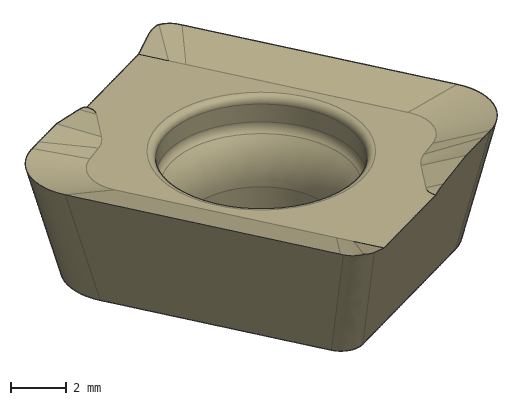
import cadquery as cq
import math

width = 14.88
depth = 12.7
height = 4.76

clearance_angle = 11.0
side_lean = 4.0
large_radius = 2.38
small_radius = 0.9

floor_drop = 0.49
rim_width = 1.77
overrun = 1.49

mouth_radius = 4.15
counterbore_radius = 3.84
bore_radius = 2.9
seat_radius = 3.66
counterbore_depth = 1.07
seat_start = 1.46
seat_end = 3.26

lip_depth = mouth_radius - counterbore_radius
floor_z = height - floor_drop
half_depth = depth / 2
lean = math.tan(math.radians(side_lean))
large_center_y = half_depth - large_radius
side_offset = (
    width / 2
    + large_radius * (1 / math.cos(math.radians(side_lean)) - 1)
    - large_center_y * lean
)


def side_x(y):
    """X of the right-hand cutting edge at a given Y."""
    return side_offset + y * lean


def outline(z, inset):
    """Rounded parallelogram, moved inward by inset, as a wire at height z."""
    y = half_depth - inset
    side_inset = inset / math.cos(math.radians(side_lean))
    wide_x = side_x(y) - side_inset
    narrow_x = side_x(-y) - side_inset
    points = [(wide_x, y), (-narrow_x, y), (-wide_x, -y), (narrow_x, -y)]
    wire = cq.Wire.makePolygon([cq.Vector(px, py, z) for px, py in points], close=True)
    corners = wire.Vertices()
    large = [v for v in corners if v.X * v.Y > 0]
    small = [v for v in corners if v.X * v.Y < 0]
    return wire.fillet2D(large_radius, large).fillet2D(small_radius, small)


def make_body():
    """Solid with flanks that taper inward toward the base."""
    inset = height * math.tan(math.radians(clearance_angle))
    return cq.Workplane(cq.Solid.makeLoft([outline(0, inset), outline(height, 0)], True))


def relief_wire(z, half_path):
    """Closed contour from one half path and its half-turn copy.

    Each step is (end,) for a line or (middle, end) for an arc.
    """
    other_half = [tuple((-x, -y) for x, y in step) for step in half_path]
    start = other_half[-1][-1]
    contour = cq.Workplane("XY", origin=(0, 0, z)).moveTo(*start)
    for step in half_path + other_half:
        if len(step) == 1:
            contour = contour.lineTo(*step[0])
        else:
            contour = contour.threePointArc(*step)
    return contour.close().wire().val()


def make_relief():
    """Material above the sunken face and its sloping rim."""
    outer_x = width / 2 + overrun
    floor_y = half_depth - rim_width

    small_center_x = -side_x(-half_depth) + small_radius
    small_center_y = half_depth - small_radius
    edge_drop = 0.34
    edge_y = half_depth - edge_drop
    edge_x = small_center_x - math.sqrt(small_radius**2 - (edge_y - small_center_y) ** 2)
    facet_x = -5.77
    facet_mid_angle = math.radians(115)
    edge_mid = (
        small_center_x + small_radius * math.cos(facet_mid_angle),
        small_center_y + small_radius * math.sin(facet_mid_angle),
    )
    floor_facet_start = -4.88
    floor_facet_end = -5.57

    large_center_x = width / 2 - large_radius
    diagonal = math.sqrt(0.5)
    large_mid = (
        large_center_x + large_radius * diagonal,
        large_center_y + large_radius * diagonal,
    )
    side_angle = math.radians(-side_lean)
    large_end = (
        large_center_x + large_radius * math.cos(side_angle),
        large_center_y + large_radius * math.sin(side_angle),
    )
    floor_corner_radius = 1.67
    floor_corner_x = 5.54
    floor_center_x = floor_corner_x - floor_corner_radius
    floor_center_y = floor_y - floor_corner_radius
    floor_mid = (
        floor_center_x + floor_corner_radius * diagonal,
        floor_center_y + floor_corner_radius * diagonal,
    )

    bend_start_y = 2.08
    bend_mid = (5.6, 1.67)
    bend_end = (5.75, 1.31)
    runout_end = (6.52, -0.07)
    runout_mid = (6.74, -0.31)
    runout_exit = (7.05, -0.4)
    edge_end_y = 1.85
    edge_bend_length = 1.43
    edge_end = (side_x(edge_end_y), edge_end_y)
    edge_bend_y = edge_end_y + edge_bend_length
    edge_bend_start = (side_x(edge_bend_y), edge_bend_y)
    edge_bulge = 0.01
    edge_bend_mid_y = edge_end_y + edge_bend_length / 2
    edge_bend_mid = (side_x(edge_bend_mid_y) + edge_bulge, edge_bend_mid_y)
    shift_x = edge_end[0] - bend_end[0]
    shift_y = edge_end[1] - bend_end[1]

    def raised(point):
        """Runout point carried up the slope to the cutting edge height."""
        return (point[0] + shift_x, point[1] + shift_y)

    floor_path = [
        ((floor_facet_end, floor_y),),
        ((floor_facet_start, floor_y),),
        ((floor_center_x, floor_y),),
        (floor_mid, (floor_corner_x, floor_center_y)),
        ((floor_corner_x, bend_start_y),),
        (bend_mid, bend_end),
        (runout_end,),
        (runout_mid, runout_exit),
        ((outer_x, runout_exit[1]),),
        ((outer_x, -floor_y),),
    ]
    edge_path = [
        ((edge_x, edge_y),),
        (edge_mid, (facet_x, half_depth)),
        ((large_center_x, half_depth),),
        (large_mid, large_end),
        (edge_bend_start,),
        (edge_bend_mid, edge_end),
        (raised(runout_end),),
        (raised(runout_mid), raised(runout_exit)),
        ((outer_x + shift_x, raised(runout_exit)[1]),),
        ((outer_x + shift_x, -edge_y),),
    ]
    wires = [relief_wire(floor_z, floor_path), relief_wire(height, edge_path)]
    return cq.Workplane(cq.Solid.makeLoft(wires, True))


def make_screw_hole():
    """Through hole with a rounded lip, counterbore, blended shoulder and curved screw seat."""
    seat_width = seat_radius - bore_radius
    seat_depth = seat_end - seat_start
    seat_arc = (seat_width**2 + seat_depth**2) / (2 * seat_width)
    mid_angle = math.asin(seat_depth / seat_arc) / 2
    seat_mid = (
        bore_radius + seat_arc * (1 - math.cos(mid_angle)),
        floor_z - seat_end + seat_arc * math.sin(mid_angle),
    )
    diagonal = math.sqrt(0.5)
    lip_mid = (
        mouth_radius - lip_depth * diagonal,
        floor_z - lip_depth * (1 - diagonal),
    )
    return (
        cq.Workplane("XZ")
        .moveTo(0, floor_z)
        .lineTo(mouth_radius, floor_z)
        .threePointArc(lip_mid, (counterbore_radius, floor_z - lip_depth))
        .lineTo(counterbore_radius, floor_z - counterbore_depth)
        .tangentArcPoint((seat_radius, floor_z - seat_start), relative=False)
        .threePointArc(seat_mid, (bore_radius, floor_z - seat_end))
        .lineTo(bore_radius, 0)
        .lineTo(0, 0)
        .close()
        .revolve(360, (0, 0), (0, 1))
    )


result = make_body().cut(make_relief()).cut(make_screw_hole())